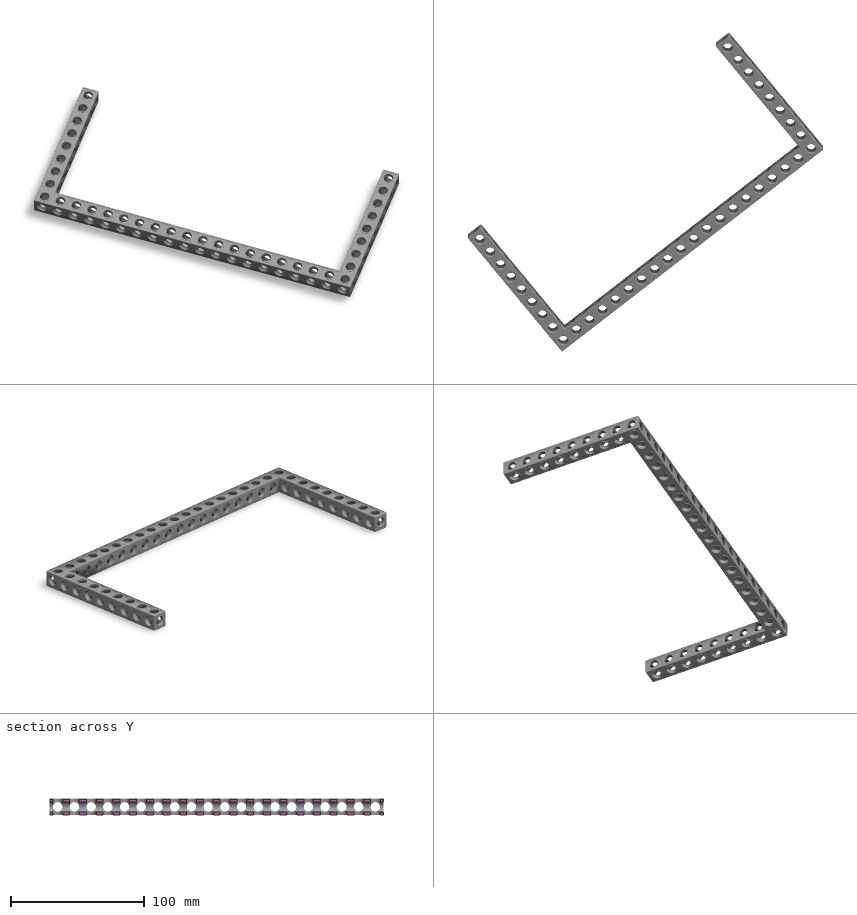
import cadquery as cq
import math

pitch = 12.5
base_holes = 20
arm_holes = 9
bore_diameter = 7.0
collar_diameter = 9.2
edge_radius = 0.5
rim_width = 1.0
recess_depth = 0.2
mouth_break = 0.3

length = base_holes * pitch
depth = arm_holes * pitch
half_pitch = pitch / 2
base_positions = [half_pitch + i * pitch for i in range(base_holes)]
arm_positions = [half_pitch + i * pitch for i in range(arm_holes)]

hole_centres = [(x, half_pitch) for x in base_positions]
for x in (base_positions[0], base_positions[-1]):
    hole_centres += [(x, y) for y in arm_positions[1:]]


def u_prism(inset, bottom, height):
    """U-shaped prism whose outline lies inside the frame outline by the given inset."""
    outer_right = length - inset
    inner_left = pitch - inset
    inner_right = length - inner_left
    arm_end = depth - inset
    points = [
        (inset, inset),
        (outer_right, inset),
        (outer_right, arm_end),
        (inner_right, arm_end),
        (inner_right, inner_left),
        (inner_left, inner_left),
        (inner_left, arm_end),
        (inset, arm_end),
    ]
    return cq.Workplane("XY").workplane(offset=bottom).polyline(points).close().extrude(height)


def cylinders(plane, points, diameter, height, offset=0):
    """Cylinders of one size standing on a plane at the given points."""
    circles = cq.Workplane(plane).workplane(offset=offset).pushPoints(points).circle(diameter / 2)
    return circles.extrude(height)


def recess(bottom):
    """Shallow recess inside the rim, interrupted by the collars around the holes."""
    collars = cylinders("XY", hole_centres, collar_diameter, recess_depth, bottom)
    return u_prism(rim_width, bottom, recess_depth).cut(collars)


def bores():
    """Vertical holes, and horizontal holes running straight through the whole frame."""
    vertical = cylinders("XY", hole_centres, bore_diameter, pitch)
    along_y = cylinders("XZ", [(x, half_pitch) for x in base_positions], bore_diameter, -depth)
    along_x = cylinders("YZ", [(y, half_pitch) for y in arm_positions], bore_diameter, length)
    return (vertical, along_y, along_x)


frame = u_prism(0, 0, pitch).edges().fillet(edge_radius)
for cutter in (recess(0), recess(pitch - recess_depth), *bores()):
    frame = frame.cut(cutter)

def is_mouth(edge):
    """True for a circle of the bore size; edges where holes cross are not circles."""
    return math.isclose(edge.radius(), bore_diameter / 2, rel_tol=1e-4)


mouth_edges = [edge for edge in frame.edges("%CIRCLE").vals() if is_mouth(edge)]
result = frame.newObject(mouth_edges).chamfer(mouth_break)